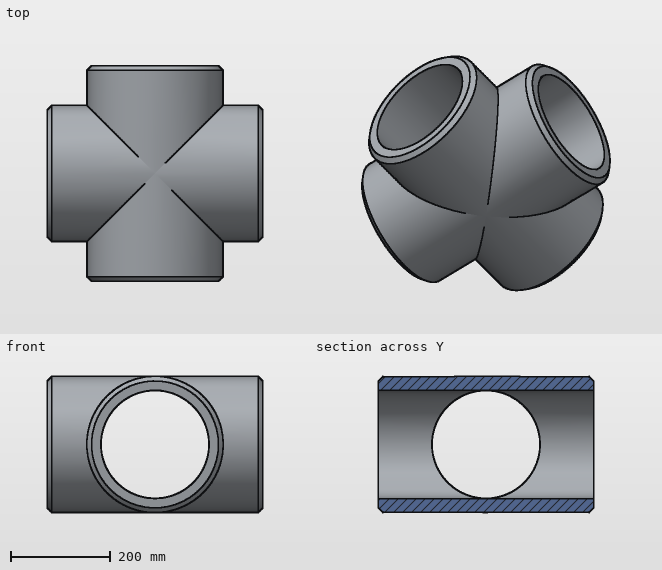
import cadquery as cq

length = 432.0
outer_diameter = 273.0
bore_diameter = 216.0
end_chamfer = 9.5


def along_x_and_y(cylinder_diameter):
    """Return two full-length cylinders, one along X and one along Y."""
    return [
        cq.Workplane(plane).circle(cylinder_diameter / 2).extrude(length / 2, both=True)
        for plane in ("YZ", "XZ")
    ]


body_x, body_y = along_x_and_y(outer_diameter)
body_x = body_x.faces("<X or >X").chamfer(end_chamfer)
body_y = body_y.faces("<Y or >Y").chamfer(end_chamfer)

bore_x, bore_y = along_x_and_y(bore_diameter)

result = body_x.union(body_y).cut(bore_x).cut(bore_y)